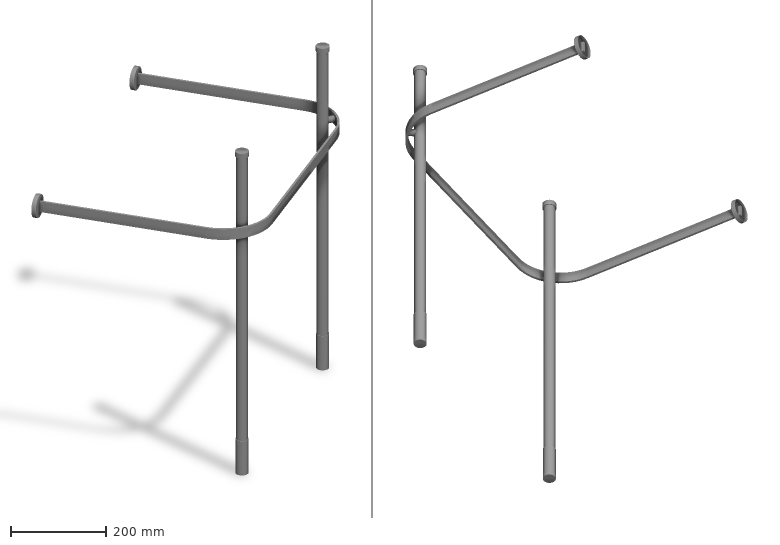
import cadquery as cq
import math

rail_reach = 490.0
rail_thickness = 5.0
rail_height = 25.0
rail_level = 583.0
arm_offset = 311.5
bend_radius = 109.0
arm_outer = arm_offset + rail_thickness / 2
bend_x = rail_reach - bend_radius
bend_y = arm_outer - bend_radius

flange_diameter = 52.0
flange_bore = 49.5
flange_thickness = 10.0
flange_recess = 8.0
flange_chamfer = 1.0

post_height = 760.0
shaft_diameter = 25.0
head_diameter = 30.0
head_height = 11.5
foot_diameter = 27.0
foot_height = 80.5

pin_diameter = 15.0
pin_angle = 40.7
post_distance = 78.0
post_x = bend_x + post_distance * math.cos(math.radians(pin_angle))
post_y = bend_y + post_distance * math.sin(math.radians(pin_angle))

SIDES = (1, -1)


def vertical_cylinder(diameter, bottom, height, x, y):
    return cq.Workplane("XY", origin=(x, y, bottom)).circle(diameter / 2).extrude(height)


def rail_outline_block(inset, height):
    """Solid block inside the rail's outer outline, moved inward by inset."""
    half_width = arm_outer - inset
    length = rail_reach - inset
    return (
        cq.Workplane("XY", origin=(0, 0, rail_level - height / 2))
        .rect(2 * length, 2 * half_width)
        .extrude(height)
        .edges("|Z and >X")
        .fillet(bend_radius - inset)
        .intersect(
            cq.Workplane("XY", origin=(0, 0, rail_level))
            .box(length, 2 * half_width, height, centered=(False, True, True))
        )
    )


def make_post(side):
    y = side * post_y
    shaft = vertical_cylinder(shaft_diameter, 0, post_height, post_x, y)
    head = vertical_cylinder(head_diameter, post_height - head_height, head_height, post_x, y)
    foot = vertical_cylinder(foot_diameter, 0, foot_height, post_x, y)
    return shaft.union(head).union(foot)


def make_pin_bar(side):
    """Full bar from the post axis to the rail's outer face, rounded to match that face."""
    angle = math.radians(pin_angle)
    bar_plane = cq.Plane(
        origin=(post_x, side * post_y, rail_level),
        xDir=(0, 0, 1),
        normal=(math.cos(angle), side * math.sin(angle), 0),
    )
    bar = cq.Workplane(bar_plane).circle(pin_diameter / 2).extrude(bend_radius - post_distance)
    corner = vertical_cylinder(
        2 * bend_radius, rail_level - rail_height / 2, rail_height, bend_x, side * bend_y
    )
    return bar.intersect(corner)


def make_rail():
    rail = rail_outline_block(0, rail_height).cut(rail_outline_block(rail_thickness, rail_height))
    for side in SIDES:
        rail = rail.cut(make_pin_bar(side))
    return rail


def make_flange(side):
    centre = (0, side * arm_offset, rail_level)
    disc = cq.Workplane("YZ", origin=centre).circle(flange_diameter / 2).extrude(flange_thickness)
    recess = cq.Workplane("YZ", origin=centre).circle(flange_bore / 2).extrude(flange_recess)
    slot = cq.Workplane("YZ", origin=centre).rect(rail_thickness, rail_height).extrude(flange_thickness)
    disc = disc.faces(">X").chamfer(flange_chamfer)
    return disc.cut(recess).cut(slot)


rail = make_rail()
posts = [make_post(side) for side in SIDES]
pins = [make_pin_bar(side).cut(post) for side, post in zip(SIDES, posts)]
flanges = [make_flange(side) for side in SIDES]

result = cq.Compound.makeCompound(
    [rail.val()] + [body.val() for body in posts + pins + flanges]
)